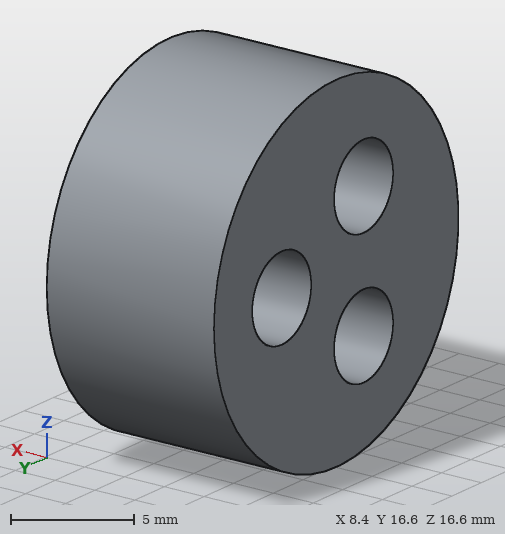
import cadquery as cq

body_diameter = 16.6
body_length = 8.4
hole_diameter = 4.0
hole_count = 3
hole_circle_radius = 3.7

body = cq.Workplane("YZ").circle(body_diameter / 2).extrude(body_length)

holes = (
    cq.Workplane("YZ")
    .polarArray(hole_circle_radius, 0, 360, hole_count)
    .circle(hole_diameter / 2)
    .extrude(body_length)
)

result = body.cut(holes)